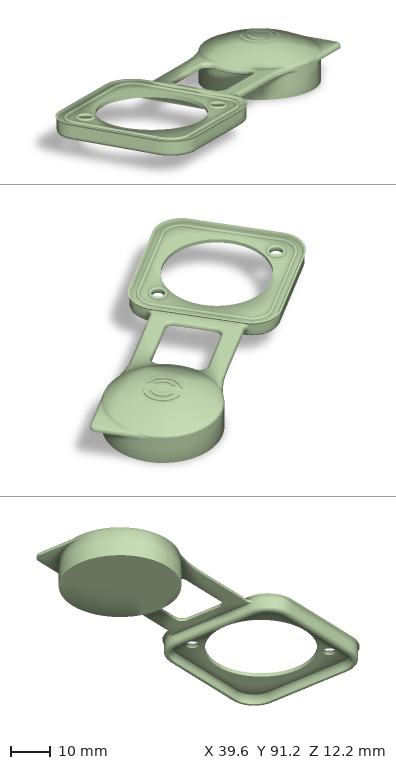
import cadquery as cq
import math

sheet_top = 8.2
sheet_thickness = 1.3
sheet_bottom = sheet_top - sheet_thickness
sheet_edge_radius = 1.0

frame_bottom = 4.4
frame_half = 19.4
corner_offset = 12.2
frame_bottom_radius = 0.9
frame_wall = 1.4
plate_thickness = 1.0
plate_bottom = sheet_top - plate_thickness
opening_radius = 14.1
lip_height = 0.55
lip_flare = 0.4
lip_foot_inset = 0.55
lip_inner_run = 0.5
bead_radius = 0.5
bead_path_half = 17.2
screw_hole_radius = 1.6

strap_half = corner_offset
strap_root_radius = 1.2
strap_root_y = frame_half - 0.4
strap_straight_end_y = 39.1
window_half = 7.2
window_bottom_y = 22.9
window_corner_radius = 2.0
window_cap_gap = 0.7

overall_length = 91.2
tab_half = 15.5
tab_corner_radius = 2.0
cap_y = overall_length - frame_half - lip_flare - tab_half
cap_radius = 15.4
cap_wall_top = 8.1
cap_apex = 11.9
cap_rim_radius = 0.8
cap_root_radius = 0.55
dome_rise = cap_apex - cap_wall_top
dome_radius = (cap_radius**2 + dome_rise**2) / (2 * dome_rise)
dome_centre = (0, cap_y, cap_apex - dome_radius)

ring_height = 0.4
ring_bands = [(2.55, 3.3), (4.4, 5.0)]
ring_gap = 3.3


def rounded_square(half, z):
    """Square outline whose corner arcs are centred at the corner offset."""
    outline = cq.Sketch().rect(2 * half, 2 * half).vertices().fillet(half - corner_offset)
    return cq.Workplane("XY").workplane(offset=z).placeSketch(outline)


def disc(radius, z, height, y=0):
    return cq.Workplane("XY").workplane(offset=z).center(0, y).circle(radius).extrude(height)


def outward_slope(run):
    """Taper angle that widens an extrusion by run over the lip height."""
    return -math.degrees(math.atan2(run, lip_height))


def make_square_bead():
    profile = cq.Workplane("XZ").center(bead_path_half, sheet_top).circle(bead_radius)
    corner_radius = bead_path_half - corner_offset
    diagonal = corner_offset + corner_radius * math.sqrt(0.5)
    path = cq.Workplane("XY").workplane(offset=sheet_top).moveTo(bead_path_half, 0)
    for sx, sy in [(1, 1), (-1, 1), (-1, -1), (1, -1)]:
        beside = (sx * bead_path_half, sy * corner_offset)
        above = (sx * corner_offset, sy * bead_path_half)
        first, last = (beside, above) if sx == sy else (above, beside)
        path = path.lineTo(*first).threePointArc((sx * diagonal, sy * diagonal), last)
    return profile.sweep(path.close())


def make_screw_bead():
    """Half-round ring that borders a screw hole."""
    return (
        cq.Workplane("XZ")
        .moveTo(screw_hole_radius, sheet_top)
        .threePointArc(
            (screw_hole_radius + bead_radius, sheet_top + bead_radius),
            (screw_hole_radius + 2 * bead_radius, sheet_top),
        )
        .lineTo(screw_hole_radius + 2 * bead_radius, plate_bottom)
        .lineTo(screw_hole_radius, plate_bottom)
        .close()
        .revolve(360, (0, 0, 0), (0, 1, 0))
    )


def make_frame():
    body = rounded_square(frame_half, frame_bottom).extrude(sheet_top - frame_bottom)
    body = body.faces("<Z").edges().fillet(frame_bottom_radius)

    lip = rounded_square(frame_half, sheet_top).extrude(lip_height, taper=outward_slope(lip_flare))
    lip_space = rounded_square(frame_half - lip_foot_inset, sheet_top).extrude(
        lip_height, taper=outward_slope(lip_inner_run)
    )
    underside = rounded_square(frame_half - frame_wall, frame_bottom).extrude(plate_bottom - frame_bottom)
    frame = body.union(lip.cut(lip_space)).cut(underside).union(make_square_bead())
    frame = frame.cut(disc(opening_radius, plate_bottom, plate_thickness))

    screw_hole = disc(screw_hole_radius, plate_bottom, plate_thickness)
    for side in (-1, 1):
        place = (side * corner_offset, side * corner_offset, 0)
        frame = frame.cut(screw_hole.translate(place)).union(make_screw_bead().translate(place))
    return frame


def blend_arc():
    """Middle and end of the arc tangent to both the strap edge and the cap wall."""
    rise = cap_y - strap_straight_end_y
    radius = (strap_half**2 + rise**2 - cap_radius**2) / (2 * (cap_radius - strap_half))
    centre_x = strap_half + radius
    end_angle = math.atan2(rise, centre_x)

    def point(angle):
        return centre_x - radius * math.cos(angle), strap_straight_end_y + radius * math.sin(angle)

    return point(end_angle / 2), point(end_angle)


def strap_blank(bottom, height):
    """Strap with its window, square-edged."""
    (mid_x, mid_y), (end_x, end_y) = blend_arc()
    root_arc_y = frame_half + strap_root_radius
    flare_mid, flare_end = [
        (
            strap_half + strap_root_radius * (1 - math.cos(angle)),
            root_arc_y - strap_root_radius * math.sin(angle),
        )
        for angle in (math.pi / 8, math.pi / 4)
    ]
    root_x = flare_end[0] + flare_end[1] - strap_root_y
    plan = cq.Workplane("XY").workplane(offset=bottom)
    strap = (
        plan.moveTo(-root_x, strap_root_y)
        .lineTo(root_x, strap_root_y)
        .lineTo(*flare_end)
        .threePointArc(flare_mid, (strap_half, root_arc_y))
        .lineTo(strap_half, strap_straight_end_y)
        .threePointArc((mid_x, mid_y), (end_x, end_y))
        .lineTo(-end_x, end_y)
        .threePointArc((-mid_x, mid_y), (-strap_half, strap_straight_end_y))
        .lineTo(-strap_half, root_arc_y)
        .threePointArc((-flare_mid[0], flare_mid[1]), (-flare_end[0], flare_end[1]))
        .close()
        .extrude(height)
    )
    window_length = cap_y - window_bottom_y
    window_y = window_bottom_y + window_length / 2
    window = plan.center(0, window_y).rect(2 * window_half, window_length).extrude(height)
    window = window.cut(disc(cap_radius + window_cap_gap, bottom, height, cap_y))
    return strap.cut(window.edges("|Z").fillet(window_corner_radius))


def make_strap():
    end_y = blend_arc()[1][1]
    exposed = cq.selectors.BoxSelector(
        (-tab_half, strap_root_y + 0.1, 0), (tab_half, end_y - 0.1, 2 * sheet_top)
    )
    strap = strap_blank(sheet_bottom, sheet_thickness)
    return strap.faces(">Z").edges(exposed).fillet(sheet_edge_radius)


def make_cap_root():
    """Concave fillet below the strap, where it joins the cap wall."""
    fillet_bottom = sheet_bottom - cap_root_radius
    fillet_mid = cap_root_radius * (1 - math.sqrt(0.5))
    ring = (
        cq.Workplane("XZ")
        .moveTo(cap_radius - cap_root_radius, fillet_bottom)
        .lineTo(cap_radius, fillet_bottom)
        .threePointArc(
            (cap_radius + fillet_mid, sheet_bottom - fillet_mid),
            (cap_radius + cap_root_radius, sheet_bottom),
        )
        .lineTo(cap_radius - cap_root_radius, sheet_bottom)
        .close()
        .revolve(360, (0, 0, 0), (0, 1, 0))
        .translate((0, cap_y, 0))
    )
    return ring.intersect(strap_blank(fillet_bottom, cap_root_radius))


def make_tab():
    tab = (
        cq.Workplane("XY")
        .workplane(offset=sheet_bottom)
        .center(0, cap_y)
        .rect(tab_half, tab_half, centered=False)
        .extrude(sheet_thickness)
    )
    tab = tab.edges("|Z and >X and >Y").fillet(tab_corner_radius)
    return tab.faces(">Z").edges("not (<X or <Y)").fillet(sheet_edge_radius)


def make_cap():
    dome = cq.Workplane("XY").sphere(dome_radius).translate(dome_centre)
    cap = disc(cap_radius, 0, cap_apex + 0.9, cap_y).intersect(dome)
    return cap.faces(">Z").edges("%CIRCLE").fillet(cap_rim_radius)


def make_rings():
    rings = None
    for inner, outer in ring_bands:
        band = disc(outer, cap_wall_top, 2 * dome_rise, cap_y)
        band = band.cut(disc(inner, cap_wall_top, 2 * dome_rise, cap_y))
        rings = band if rings is None else rings.union(band)
    gap = cq.Workplane("XY").box(2 * cap_radius, ring_gap, 4 * cap_apex).translate((0, cap_y, 0))
    skin = cq.Workplane("XY").sphere(dome_radius + ring_height).translate(dome_centre)
    return rings.cut(gap).intersect(skin)


result = (
    make_cap()
    .union(make_strap())
    .union(make_cap_root())
    .union(make_tab())
    .union(make_rings())
    .union(make_frame())
)